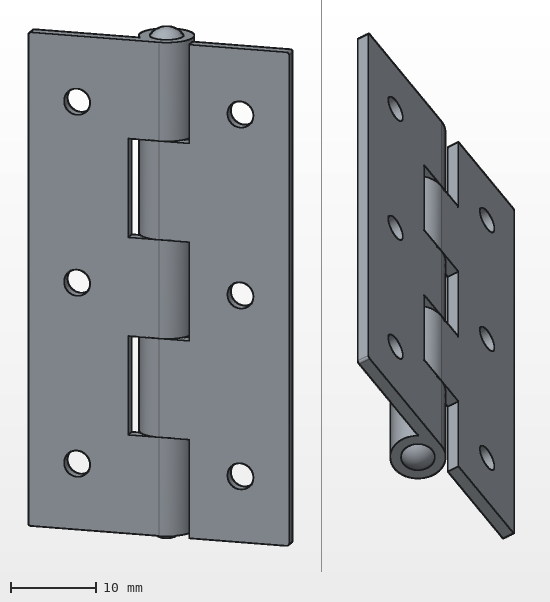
import cadquery as cq
import math

total_height = 62.2
hinge_width = 32.0
leaf_height = 60.1
leaf_thickness = 1.5
corner_radius = 0.3
barrel_diameter = 6.5
pin_diameter = 4.0
knuckle_count = 5
notch_reach = 3.75
hole_diameter = 3.2
hole_offset = 10.0
holes_per_leaf = 3
hole_pitch = 22.0

barrel_radius = barrel_diameter / 2
pin_radius = pin_diameter / 2
knuckle_height = leaf_height / knuckle_count
leaf_reach = hinge_width / 2
head_height = (total_height - leaf_height) / 2


def knuckle_bottom(index):
    """Z of the lower end of a knuckle, counted from the bottom."""
    return -leaf_height / 2 + index * knuckle_height


def make_plate(side):
    """Flat part of a leaf; side is -1 for the -X leaf and +1 for the +X leaf."""
    width = leaf_reach - notch_reach
    outer_end = ">X" if side > 0 else "<X"
    return (
        cq.Workplane("XY")
        .box(width, leaf_thickness, leaf_height, centered=(True, False, True))
        .faces(outer_end)
        .edges("|Y")
        .fillet(corner_radius)
        .translate((side * (notch_reach + width / 2), -barrel_radius, 0))
    )


def make_knuckle(side, index):
    """Barrel section with the tongue that joins it tangentially to its plate."""
    barrel = cq.Workplane("XY").circle(barrel_radius).extrude(knuckle_height)
    tongue = (
        cq.Workplane("XY")
        .box(notch_reach, leaf_thickness, knuckle_height, centered=(True, False, False))
        .translate((side * notch_reach / 2, -barrel_radius, 0))
    )
    bore = cq.Workplane("XY").circle(pin_radius).extrude(knuckle_height)
    return barrel.union(tongue).cut(bore).translate((0, 0, knuckle_bottom(index)))


def make_screw_holes(side):
    """Column of through holes for the screws."""
    return (
        cq.Workplane("XZ", origin=(side * hole_offset, 0, 0))
        .rarray(0.6, hole_pitch, 1, holes_per_leaf)
        .circle(hole_diameter / 2)
        .extrude(barrel_radius)
    )


def make_leaf(side, knuckle_indices):
    """Leaf with its knuckles and screw holes."""
    leaf = make_plate(side)
    for index in knuckle_indices:
        leaf = leaf.union(make_knuckle(side, index))
    return leaf.cut(make_screw_holes(side))


def make_pin():
    """Pin filling the bore, with a domed head at each end."""
    shoulder = leaf_height / 2
    tip = total_height / 2
    dome_radius = (pin_radius**2 + head_height**2) / (2 * head_height)
    half_angle = math.asin(pin_radius / dome_radius) / 2
    mid_x = dome_radius * math.sin(half_angle)
    mid_z = tip - dome_radius * (1 - math.cos(half_angle))
    return (
        cq.Workplane("XZ")
        .moveTo(0, -tip)
        .threePointArc((mid_x, -mid_z), (pin_radius, -shoulder))
        .lineTo(pin_radius, shoulder)
        .threePointArc((mid_x, mid_z), (0, tip))
        .close()
        .revolve(360, (0, 0, 0), (0, 1, 0))
    )


left_leaf = make_leaf(-1, range(0, knuckle_count, 2))
right_leaf = make_leaf(1, range(1, knuckle_count, 2))
pin = make_pin()

result = cq.Compound.makeCompound([left_leaf.val(), right_leaf.val(), pin.val()])